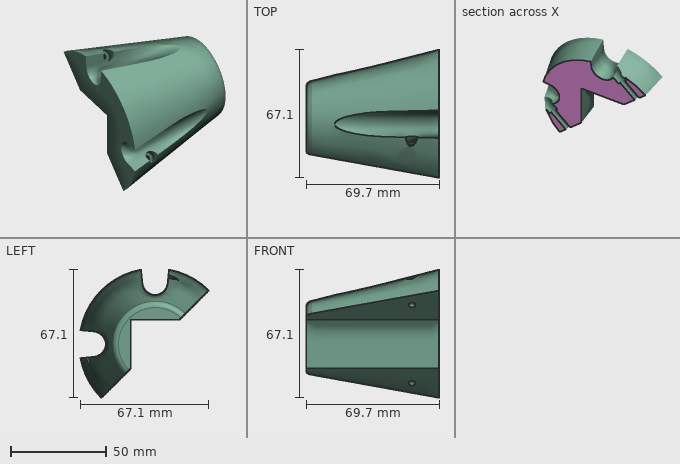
import cadquery as cq
import math


length = 69.7
large_radius = 39.7
small_radius = 21.95
nose_round = 3.4

bore_side = 25.35

slot_floor = 25.8
slot_radius = 6.6
slot_flare = math.radians(5.5)
slot_centre = slot_floor + slot_radius
slot_reach = large_radius + 3.5

screw_x = 55.55
screw_offset = 29.0
screw_diameter = 3.5
head_diameter = 6.55
head_seat = 12.3


def make_body():
    """Revolved cone with a rounded small end."""
    profile = [(0, 0), (0, small_radius), (length, large_radius), (length, 0)]
    cone = cq.Workplane("XY").polyline(profile).close().revolve(360, (0, 0, 0), (1, 0, 0))
    return cone.faces("<X").edges().fillet(nose_round)


def make_unused_half():
    """Block filling the side of the split plane where y + z < 0."""
    size = 4 * large_radius
    block = cq.Workplane("XY").box(length, size, size, centered=(False, True, False))
    return block.translate((0, 0, -size)).rotate((0, 0, 0), (1, 0, 0), -45)


def make_slot():
    """Cutter for the slot that opens toward +Z."""
    tangent_y = slot_radius * math.cos(slot_flare)
    tangent_z = slot_centre - slot_radius * math.sin(slot_flare)
    mouth_y = tangent_y + (slot_reach - tangent_z) * math.tan(slot_flare)
    return (
        cq.Workplane("YZ")
        .moveTo(-mouth_y, slot_reach)
        .lineTo(-tangent_y, tangent_z)
        .threePointArc((0, slot_floor), (tangent_y, tangent_z))
        .lineTo(mouth_y, slot_reach)
        .close()
        .extrude(length)
    )


def make_screw_hole():
    """Cutter for the hole and head recess on the -Y, +Z side."""
    diagonal = math.sqrt(0.5)
    across = cq.Vector(0, -diagonal, diagonal)
    outward = cq.Vector(0, diagonal, diagonal)
    start = cq.Vector(screw_x, 0, 0) + across * screw_offset
    seat = start + outward * head_seat
    shank = cq.Solid.makeCylinder(screw_diameter / 2, head_seat, start, outward)
    head = cq.Solid.makeCylinder(head_diameter / 2, large_radius - head_seat, seat, outward)
    return cq.Workplane(shank).union(cq.Workplane(head))


def mirror_across_diagonal(shape):
    """Mirror in the plane y = z, which swaps Y and Z."""
    return shape.mirror("XY").rotate((0, 0, 0), (1, 0, 0), 90)


bore = cq.Workplane("XY").box(length, bore_side, bore_side, centered=(False, True, True))

result = make_body().cut(bore).cut(make_unused_half())
for cutter in (make_slot(), make_screw_hole()):
    result = result.cut(cutter).cut(mirror_across_diagonal(cutter))